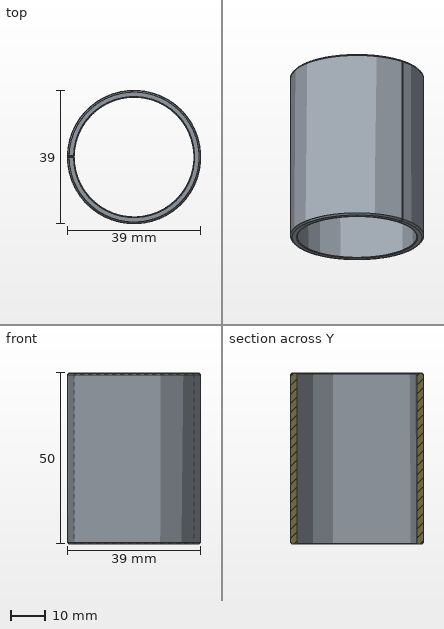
import cadquery as cq

outer_diameter = 39.0
wall_thickness = 2.0
length = 50.0
outer_chamfer = 0.5
inner_chamfer = 0.2
slit_angle = 1.0

outer_radius = outer_diameter / 2
bore_radius = outer_radius - wall_thickness
half_length = length / 2


def make_wall_profile():
    """Wall section on the -X side of the XZ plane, chamfered at both rims of each end."""
    rim_outer = outer_radius - outer_chamfer
    rim_inner = bore_radius + inner_chamfer
    outer_shoulder = half_length - outer_chamfer
    inner_shoulder = half_length - inner_chamfer
    return (
        cq.Workplane("XZ")
        .moveTo(-bore_radius, inner_shoulder)
        .lineTo(-rim_inner, half_length)
        .lineTo(-rim_outer, half_length)
        .lineTo(-outer_radius, outer_shoulder)
        .lineTo(-outer_radius, -outer_shoulder)
        .lineTo(-rim_outer, -half_length)
        .lineTo(-rim_inner, -half_length)
        .lineTo(-bore_radius, -inner_shoulder)
        .close()
    )


def make_split_sleeve():
    """Sweep the wall section around Z, stopping short of a full turn to leave the slit."""
    axis_start = (0, 0, 0)
    axis_end = (0, 1, 0)
    return make_wall_profile().revolve(360 - slit_angle, axis_start, axis_end)


result = make_split_sleeve()